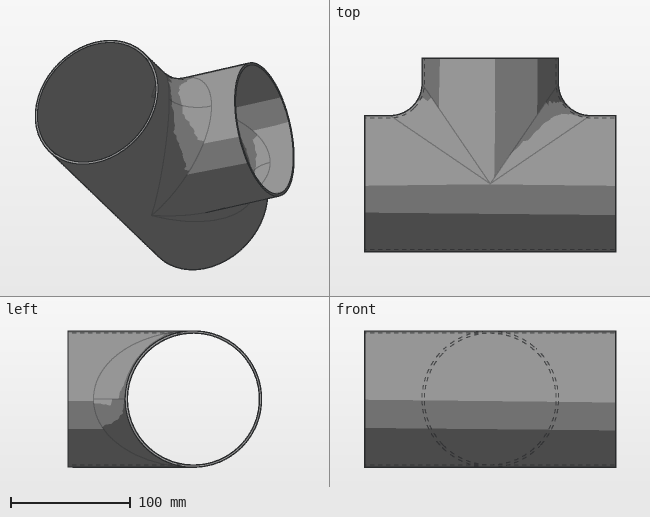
import cadquery as cq

run_length = 210.0
branch_reach = 105.0
outer_diameter = 114.2
inner_diameter = 110.2
crotch_radius = 26.5

wall = (outer_diameter - inner_diameter) / 2
half_run = run_length / 2


def blended_tee(radius, blend_radius):
    """Solid tee of two equal cylinders, with a rounded crotch on either side of the branch."""
    half_main = cq.Workplane("YZ").circle(radius).extrude(half_run)
    branch = cq.Workplane("XZ").circle(radius).extrude(-branch_reach)

    half_space = cq.Workplane("XY").box(
        half_run, 2 * branch_reach, 2 * radius, centered=(False, True, True)
    )
    half = half_main.union(branch.intersect(half_space))

    half = half.edges("%ELLIPSE").fillet(blend_radius)

    other_half = half.rotate((0, 0, 0), (0, 1, 0), 180)
    return half.union(other_half)


outer_body = blended_tee(outer_diameter / 2, crotch_radius)
bore = blended_tee(inner_diameter / 2, crotch_radius + wall)
result = outer_body.cut(bore).solids()